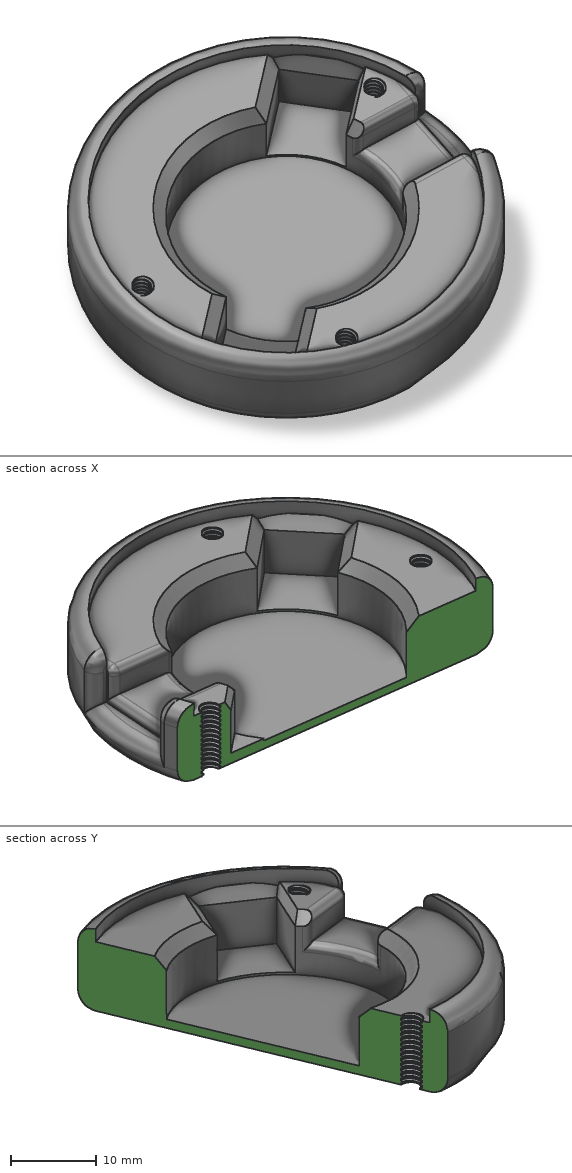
import cadquery as cq
import math

outer_radius = 51.27 / 2
height = 10.7
edge_round = 2.36
rim_inner_radius = 23.2
deck_z = 9.0

pocket_radius = 28.2 / 2
pocket_floor_z = 1.2
pocket_chamfer = 1.5

slot_angle = -45
slot_half_width = 4.75
slot_half_length = 21.6
slot_floor_z = 1.5
slot_chamfer = 1.5
slot_narrow_chamfer = 0.65

notch_half_width = 4.55
notch_floor_z = 5.3
notch_round = 1.1
deck_end_y = 22.6

gap_half_width = 5.76
gap_end_round = 1.56
rim_end_clearance = 0.05
gap_inner_y = 18.0
gap_reach_x = 9.5
ledge_z = 4.0
ledge_round = 1.9

hole_diameter = 2.27
thread_diameter = 2.85
thread_pitch = 0.65
thread_angle = 60
thread_root_flat = 0.18
hole_centres = [(0, -20.6), (20.1, -5.45), (-9.05, 18.8)]

blank_radius = 2 * outer_radius


def cylinder(radius, z_low, z_high):
    return cq.Workplane("XY").workplane(offset=z_low).circle(radius).extrude(z_high - z_low)


def box(x_low, x_high, y_low, y_high, z_low, z_high):
    size = (x_high - x_low, y_high - y_low, z_high - z_low)
    return cq.Workplane("XY").box(*size, centered=False).translate((x_low, y_low, z_low))


def revolve_about_z(profile):
    return profile.close().revolve(360, (0, 0, 0), (0, 1, 0))


def make_disc(z_high, top_round):
    """Solid disc with the common bottom rounding and its own top rounding."""
    top = cylinder(outer_radius, 0, z_high).edges(">Z").fillet(top_round)
    return top.intersect(cylinder(outer_radius, 0, height).edges("<Z").fillet(edge_round))


def make_rounded_rim_end():
    """Block on the +X side of the gap whose rolled edges shape one rim end.

    Its slanted outer face lies just clear of the outer cylinder, parallel to the
    tangent plane where the rolled edge runs out.
    """
    face_distance = outer_radius + rim_end_clearance
    round_centre_x = gap_half_width + gap_end_round
    slant = math.asin(round_centre_x / (outer_radius - gap_end_round))

    def outer_face_y(x):
        return (face_distance - x * math.sin(slant)) / math.cos(slant)

    block = (
        cq.Workplane("XY")
        .moveTo(gap_half_width, gap_inner_y)
        .lineTo(gap_half_width, outer_face_y(gap_half_width))
        .lineTo(gap_reach_x, outer_face_y(gap_reach_x))
        .lineTo(gap_reach_x, gap_inner_y)
        .close()
        .extrude(height)
    )
    block = block.edges(">Z").edges(">Y").fillet(edge_round)
    return block.faces("<X").edges("not(<Y or <Z)").fillet(gap_end_round)


def make_rim():
    """Outer ring, open at the gap, with both rim ends rounded over."""
    ring = make_disc(height, edge_round).cut(cylinder(rim_inner_radius, 0, height))
    half_gap = box(0, gap_reach_x, gap_inner_y, blank_radius, 0, height)
    half_gap = half_gap.cut(make_rounded_rim_end())
    return ring.cut(half_gap).cut(half_gap.mirror("YZ"))


def make_deck():
    """Raised deck split by the notch, with a lower rounded notch floor."""
    blank = cylinder(blank_radius, 0, deck_z)
    blank = blank.intersect(box(-blank_radius, blank_radius, -blank_radius, deck_end_y, 0, deck_z))
    blank = blank.cut(cylinder(pocket_radius, 0, deck_z))
    walls = blank.cut(box(-notch_half_width, notch_half_width, 0, blank_radius, 0, deck_z))
    notch_corners = cq.selectors.BoxSelector(
        (-notch_half_width - 0.1, 0, 0), (notch_half_width + 0.1, blank_radius, deck_z)
    )
    walls = walls.edges("|Z").edges(notch_corners).fillet(notch_round)
    walls = walls.faces(">Z").edges(cq.selectors.BoxSelector(
        (-notch_half_width - 0.1, 0, 0), (notch_half_width + 0.1, blank_radius, deck_z + 1)
    )).fillet(notch_round)

    step_half_width = gap_half_width
    step = box(-step_half_width, step_half_width, 0, deck_end_y, 0, notch_floor_z)
    step = step.cut(cylinder(pocket_radius, 0, deck_z))
    step = step.faces(">Z").edges("(not |Y)").fillet(notch_round)
    return walls.union(step).intersect(cylinder(rim_inner_radius, 0, deck_z))


def make_pocket_cutter():
    chamfer_radius = pocket_radius + pocket_chamfer
    return revolve_about_z(
        cq.Workplane("XZ")
        .moveTo(0, pocket_floor_z)
        .lineTo(pocket_radius, pocket_floor_z)
        .lineTo(pocket_radius, deck_z - pocket_chamfer)
        .lineTo(chamfer_radius, deck_z)
        .lineTo(0, deck_z)
    )


def make_slot_cutter():
    """Rectangular slot with a chamfered mouth, kept inside the rim."""
    def mouth(near_chamfer):
        low = (-slot_half_width, slot_half_width)
        high = (low[0] - slot_chamfer, low[1] + near_chamfer)
        top_half_length = slot_half_length + slot_chamfer
        chamfer_z = deck_z - slot_chamfer
        lower = cq.Workplane("XY").workplane(offset=chamfer_z)
        lower = lower.rect(2 * slot_half_length, 2 * slot_half_width)
        return (
            lower.workplane(offset=slot_chamfer)
            .center(0, (high[0] + high[1]) / 2)
            .rect(2 * top_half_length, high[1] - high[0])
            .loft(ruled=True)
        )

    left = mouth(slot_narrow_chamfer).intersect(
        box(-blank_radius, 0, -blank_radius, blank_radius, 0, height))
    right = mouth(slot_chamfer).intersect(
        box(0, blank_radius, -blank_radius, blank_radius, 0, height))
    trough = box(-slot_half_length, slot_half_length, -slot_half_width, slot_half_width,
                 slot_floor_z, deck_z)
    slot = trough.union(left).union(right).rotate((0, 0, 0), (0, 0, 1), slot_angle)
    return slot.intersect(cylinder(rim_inner_radius, 0, deck_z))


def make_threaded_hole():
    """Bore with a helical groove that opens toward +Y at the deck surface."""
    bore_radius = hole_diameter / 2
    thread_radius = thread_diameter / 2
    root_radius = bore_radius - 0.05
    half_root = thread_root_flat / 2
    half_mouth = half_root + (thread_radius - root_radius) * math.tan(math.radians(thread_angle / 2))
    turns = math.ceil(deck_z / thread_pitch) + 2
    helix = cq.Wire.makeHelix(thread_pitch, turns * thread_pitch, root_radius)
    groove = (
        cq.Workplane("XZ")
        .moveTo(root_radius, -half_mouth)
        .lineTo(thread_radius, -half_root)
        .lineTo(thread_radius, half_root)
        .lineTo(root_radius, half_mouth)
        .close()
        .sweep(cq.Workplane(obj=helix), isFrenet=True)
    )
    groove = groove.rotate((0, 0, 0), (0, 0, 1), 90)
    groove = groove.translate((0, 0, deck_z - (turns - 1) * thread_pitch))
    return cylinder(bore_radius, -thread_pitch, height).union(groove)


def make_hole_cutters():
    hole = make_threaded_hole()
    return [hole.translate((x, y, 0)) for x, y in hole_centres]


base = make_disc(ledge_z, ledge_round)
result = base.union(make_deck()).union(make_rim())
result = result.cut(make_pocket_cutter()).cut(make_slot_cutter())
for hole_cutter in make_hole_cutters():
    result = result.cut(hole_cutter)